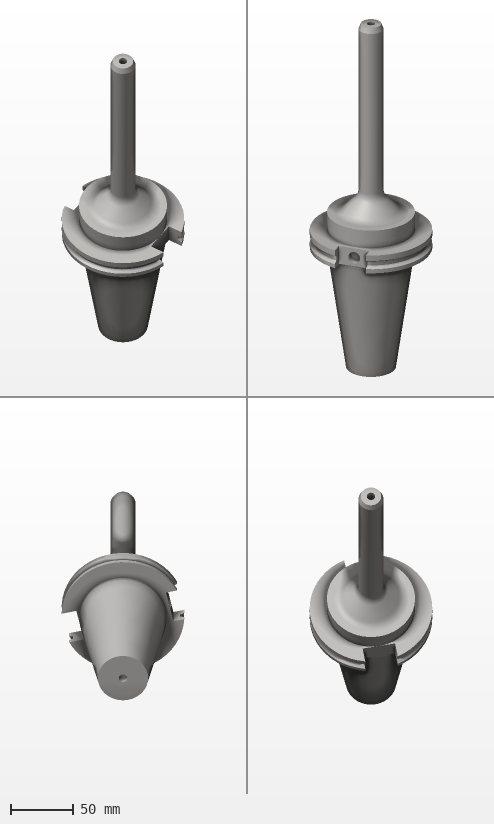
import cadquery as cq
import math

taper_length = 102.5
flange_bottom = 106.0
flange_thickness = 16.0
flange_top = flange_bottom + flange_thickness
hub_top = 137.5
total_height = 304.8

gauge_radius = 35.0
taper_ratio = 7 / 24
small_end_radius = gauge_radius - taper_length * taper_ratio / 2
flange_diameter = 98.5
flange_radius = flange_diameter / 2
hub_radius = 35.5
stem_radius = 10.0
bore_radius = 3.5

groove_floor_radius = 46.0
groove_centre = 113.5
groove_floor_width = 3.7
groove_flank_angle = 30.0
groove_half_floor = groove_floor_width / 2
groove_flank_height = (flange_radius - groove_floor_radius) * math.tan(math.radians(groove_flank_angle))
groove_half_mouth = groove_half_floor + groove_flank_height

blend_radius = 10.0
shoulder_foot_radius = 30.0
half_diagonal = math.sqrt(0.5)
blend_long = blend_radius * half_diagonal
blend_short = blend_radius - blend_long
cone_bottom_radius = shoulder_foot_radius - blend_long
cone_bottom = hub_top + blend_short
cone_top_radius = stem_radius + blend_short
cone_top = cone_bottom + cone_bottom_radius - cone_top_radius
stem_bottom = cone_top + blend_long

tip_radius = 8.2
tip_chamfer_height = 4.5

slot_width = 26.5
left_floor_distance = 38.5
right_floor_distance = 35.5
slot_hole_diameter = 10.0
slot_hole_height = 113.7
slot_hole_depth = 6.0


def blend_midpoint(centre_radius, centre_height, angle):
    """Point on a shoulder blend at the given angle from its centre."""
    radians = math.radians(angle)
    return (
        centre_radius + blend_radius * math.cos(radians),
        centre_height + blend_radius * math.sin(radians),
    )


def turned_body():
    """Solid of revolution of the half profile around Z."""
    foot_middle = blend_midpoint(shoulder_foot_radius, hub_top + blend_radius, 247.5)
    stem_middle = blend_midpoint(stem_radius + blend_radius, stem_bottom, 202.5)
    return (
        cq.Workplane("XZ")
        .moveTo(0, 0)
        .lineTo(small_end_radius, 0)
        .lineTo(gauge_radius, taper_length)
        .lineTo(gauge_radius, flange_bottom)
        .lineTo(flange_radius, flange_bottom)
        .lineTo(flange_radius, groove_centre - groove_half_mouth)
        .lineTo(groove_floor_radius, groove_centre - groove_half_floor)
        .lineTo(groove_floor_radius, groove_centre + groove_half_floor)
        .lineTo(flange_radius, groove_centre + groove_half_mouth)
        .lineTo(flange_radius, flange_top)
        .lineTo(hub_radius, flange_top)
        .lineTo(hub_radius, hub_top)
        .lineTo(shoulder_foot_radius, hub_top)
        .threePointArc(foot_middle, (cone_bottom_radius, cone_bottom))
        .lineTo(cone_top_radius, cone_top)
        .threePointArc(stem_middle, (stem_radius, stem_bottom))
        .lineTo(stem_radius, total_height - tip_chamfer_height)
        .lineTo(tip_radius, total_height)
        .lineTo(0, total_height)
        .close()
        .revolve(360, (0, 0, 0), (0, 1, 0))
    )


def drive_slot(side, floor_distance):
    """Cutter for a slot through the flange; side is -1 or +1 along X."""
    return (
        cq.Workplane("XY", origin=(0, 0, flange_bottom))
        .center(side * (floor_distance + flange_radius / 2), 0)
        .rect(flange_radius, slot_width)
        .extrude(flange_thickness)
    )


def slot_hole():
    """Cutter for the blind radial hole in the -X slot floor."""
    return (
        cq.Workplane("YZ", origin=(-left_floor_distance, 0, slot_hole_height))
        .circle(slot_hole_diameter / 2)
        .extrude(slot_hole_depth)
    )


def coolant_bore():
    """Cutter for the axial bore through the whole part."""
    return cq.Workplane("XY").circle(bore_radius).extrude(total_height)


result = (
    turned_body()
    .cut(drive_slot(-1, left_floor_distance))
    .cut(drive_slot(1, right_floor_distance))
    .cut(slot_hole())
    .cut(coolant_bore())
)